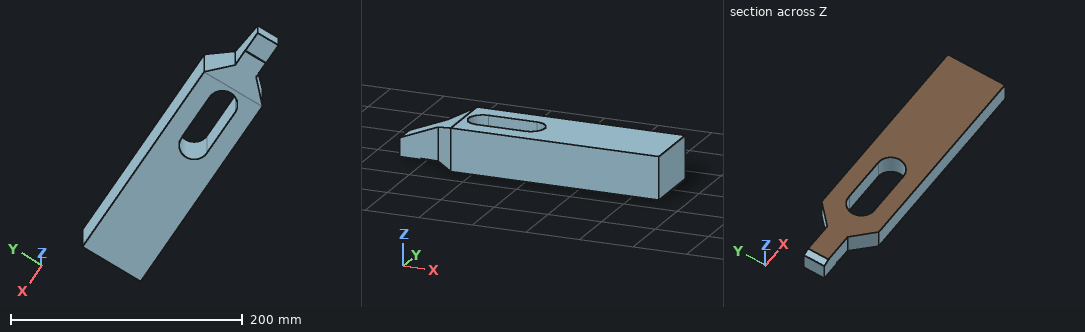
import cadquery as cq

length = 250.0
width = 60.0
height = 40.0

nose_length = 55.6
finger_length = 35.9
finger_width = 21.6
tip_height = 17.5

pad_length = 20.0
relief_depth = 1.0

slot_start = 60.0
slot_length = 71.0
slot_width = 26.0


def plan_body():
    """Full-height bar with the finger and its flared shoulders."""
    half_width = width / 2
    half_finger = finger_width / 2
    outline = [
        (0, -half_finger),
        (finger_length, -half_finger),
        (nose_length, -half_width),
        (length, -half_width),
        (length, half_width),
        (nose_length, half_width),
        (finger_length, half_finger),
        (0, half_finger),
    ]
    return cq.Workplane("XY").polyline(outline).close().extrude(height)


def side_profile():
    """Side silhouette across the whole width: sloped nose top and relieved underside."""
    outline = [
        (0, 0),
        (pad_length, 0),
        (pad_length, relief_depth),
        (nose_length, 0),
        (length, 0),
        (length, height),
        (nose_length, height),
        (0, tip_height),
    ]
    return cq.Workplane("XZ").polyline(outline).close().extrude(width / 2, both=True)


def bolt_slot():
    """Round-ended slot running through the full height."""
    slot_center = slot_start + slot_length / 2
    return cq.Workplane("XY").center(slot_center, 0).slot2D(slot_length, slot_width).extrude(height)


result = plan_body().intersect(side_profile()).cut(bolt_slot())